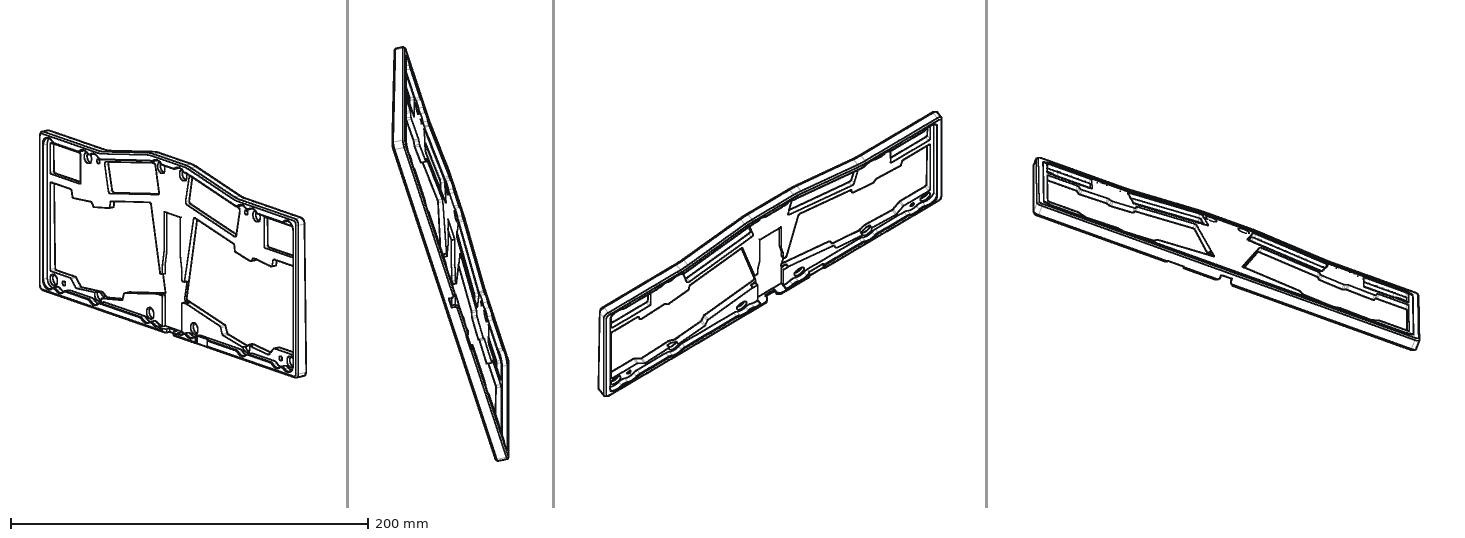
import cadquery as cq
import math

WIDTH = 229.0
HEIGHT = 102.01
DEPTH_BOTTOM = 7.54
BACK_SLOPE = 0.85
ROOF_ANGLE = 12.0
ROOF_OUTER_X = 60.0
ROOF_INNER_X = 16.6
CORNER_RADIUS = 3.0
ROOF_RADIUS = 24.0
EDGE_CHAMFER = 1.0

HALF_WIDTH = WIDTH / 2
SIDE_HEIGHT = HEIGHT - (ROOF_OUTER_X - ROOF_INNER_X) * math.tan(math.radians(ROOF_ANGLE))

RIM_SIDE = 3.9
RIM_TOP = 4.4
RIM_BOTTOM = 4.6
RECESS_DEPTH = 3.2
RECESS_CHAMFER = 0.35
RELIEF_RADIUS = 4.8
RELIEF_BLEND = 3.5

BACK_RECESS_DEPTH = 0.45

MAGNET_DIAMETER = 6.5
MAGNET_DEPTH = 2.0
PIN_DIAMETER = 2.5
PIN_DEPTH = 2.0
LOWER_ROW_Z = 7.3
UPPER_ROW_Z = 85.5
CENTRE_ROW_Z = 94.6
CORNER_X = 104.9
LOWER_PIN_X = 96.0
MIDDLE_X = 65.5
INNER_X = 19.5
UPPER_MAGNET_X = 74.7
CENTRE_MAGNET_X = 9.7
LOWER_CORNER_MAGNET = (CORNER_X, LOWER_ROW_Z)
OTHER_MAGNETS = [(MIDDLE_X, LOWER_ROW_Z), (INNER_X, LOWER_ROW_Z),
                 (UPPER_MAGNET_X, UPPER_ROW_Z), (CENTRE_MAGNET_X, CENTRE_ROW_Z)]
PINS = [(LOWER_PIN_X, LOWER_ROW_Z), (MIDDLE_X, UPPER_ROW_Z)]

CORNER_RELIEF_X = HALF_WIDTH - RIM_SIDE - RELIEF_RADIUS
CHANNEL_RELIEF_X = 10.4
PLAIN_RELIEFS = [(CORNER_RELIEF_X, LOWER_ROW_Z), (CORNER_RELIEF_X, UPPER_ROW_Z),
                 (CHANNEL_RELIEF_X, LOWER_ROW_Z)]

WINDOW_OUTER_X = 108.1
WINDOW_RADIUS = 1.0
CORNER_WINDOW_INNER_X = 81.3
CORNER_WINDOW_BOTTOM = 68.6
CORNER_WINDOW_TOP = 86.7
ROOF_WINDOW_CENTRE = (35.8, 82.4)
ROOF_WINDOW_SIZE = (45.8, 18.0)
ROOF_WINDOW_RADIUS = 1.5
MAIN_WINDOW = [
    (WINDOW_OUTER_X, 11.85), (WINDOW_OUTER_X, 63.7), (89.4, 63.7), (88.3, 58.9),
    (71.7, 60.4), (69.6, 57.8), (55.4, 60.4), (54.8, 64.6), (19.1, 72.1),
    (8.4, 21.0), (42.7, 13.8), (44.4, 9.2), (62.6, 6.15), (66.4, 8.5),
    (85.2, 6.95), (90.0, 11.85),
]

CHANNEL_DEPTH = 2.0
CHANNEL_TOP = 69.4
CHANNEL_NARROW = 7.25
CHANNEL_WIDE = 8.65
CHANNEL_BOTTOM = 2.1
TAPER_TOP = 46.0
TAPER_BOTTOM = 38.0
WAIST_TOP = 32.4
WAIST_BOTTOM = 20.0
WAIST_HALF_WIDTH = 12.0
WAIST_RADIUS = 0.6

CABLE_NOTCH_HALF_WIDTH = 3.2
CABLE_NOTCH_DEPTH = 4.0
CABLE_NOTCH_FLARE = 1.8
PORT_NOTCH_LEFT = 24.6
PORT_NOTCH_RIGHT = 34.3
PORT_NOTCH_DEPTH = 1.2
PORT_NOTCH_FLARE = 0.5


def prism(points, start, depth):
    """Prism of an X-Z polygon, from Y = start towards the back."""
    return cq.Workplane("XZ", origin=(0, start, 0)).polyline(points).close().extrude(-depth)


def disc(centre, diameter, start, depth):
    return (cq.Workplane("XZ", origin=(0, start, 0))
            .center(*centre).circle(diameter / 2).extrude(-depth))


def both_sides(body):
    return body.union(body.mirror("YZ"))


def symmetric(right_points):
    """Close a right-hand outline, listed bottom to top, with its mirror image."""
    return right_points + [(-x, z) for x, z in reversed(right_points)]


def roof_points(inset):
    """Two right-hand bends of the top edge, moved inwards by inset."""
    shift = inset * math.tan(math.radians(ROOF_ANGLE / 2))
    return [(ROOF_OUTER_X - shift, SIDE_HEIGHT - inset), (ROOF_INNER_X - shift, HEIGHT - inset)]


def round_edges_at(body, places, radius):
    """Round the front-to-back edges that lie at the given X-Z places."""
    reach = 0.05
    edges = body.edges("|Y")
    picked = [e for e in edges.vals()
              if any(math.hypot(e.Center().x - x, e.Center().z - z) < reach for x, z in places)]
    return body.newObject(picked).fillet(radius)


def make_frame():
    corners = [(HALF_WIDTH, 0), (HALF_WIDTH, SIDE_HEIGHT)]
    outline = symmetric(corners + roof_points(0))
    back_y = DEPTH_BOTTOM + EDGE_CHAMFER * math.tan(math.radians(BACK_SLOPE))
    body = prism(outline, 0, back_y)
    body = round_edges_at(body, symmetric(corners), CORNER_RADIUS)
    body = round_edges_at(body, symmetric(roof_points(0)), ROOF_RADIUS)
    lean = math.tan(math.radians(BACK_SLOPE))
    wedge = (cq.Workplane("YZ", origin=(-WIDTH, 0, 0))
             .polyline([(back_y, 0), (back_y - HEIGHT * lean, HEIGHT), (back_y, HEIGHT)])
             .close().extrude(2 * WIDTH))
    body = body.cut(wedge)
    return body.faces("<Y or >Y").chamfer(EDGE_CHAMFER)


def recess_outline():
    """Inside of the rim, with the corners cut back to where the corner reliefs begin."""
    side_x = HALF_WIDTH - RIM_SIDE
    side_top = SIDE_HEIGHT - RIM_TOP
    right_side = [(CORNER_RELIEF_X, RIM_BOTTOM), (side_x, LOWER_ROW_Z),
                  (side_x, UPPER_ROW_Z), (CORNER_RELIEF_X, side_top)]
    return symmetric(right_side + roof_points(RIM_TOP))


def make_recess():
    body = prism(recess_outline(), 0, RECESS_DEPTH)
    for centre in OTHER_MAGNETS + PINS + PLAIN_RELIEFS:
        body = body.union(both_sides(disc(centre, 2 * RELIEF_RADIUS, 0, RECESS_DEPTH)))
    wall = body.faces("<Y").val().outerWire()
    grown = wall.offset2D(RELIEF_BLEND)[0]
    rounded = grown.offset2D(-RELIEF_BLEND)[0]
    return cq.Workplane(obj=cq.Solid.extrudeLinear(rounded, [], cq.Vector(0, RECESS_DEPTH, 0)))


def make_back_recess():
    floor_y = DEPTH_BOTTOM - BACK_RECESS_DEPTH
    body = prism(recess_outline(), floor_y, DEPTH_BOTTOM)
    return body.rotate((0, floor_y, 0), (1, floor_y, 0), BACK_SLOPE)


def make_windows():
    corner_points = [(CORNER_WINDOW_INNER_X, CORNER_WINDOW_BOTTOM),
                     (WINDOW_OUTER_X, CORNER_WINDOW_BOTTOM),
                     (WINDOW_OUTER_X, CORNER_WINDOW_TOP),
                     (CORNER_WINDOW_INNER_X, CORNER_WINDOW_TOP)]
    corner = prism(corner_points, 0, DEPTH_BOTTOM).edges("|Y").fillet(WINDOW_RADIUS)
    roof = (cq.Workplane("XZ").center(*ROOF_WINDOW_CENTRE)
            .transformed(rotate=(0, 0, -ROOF_ANGLE)).rect(*ROOF_WINDOW_SIZE).extrude(-DEPTH_BOTTOM)
            .edges("|Y").fillet(ROOF_WINDOW_RADIUS))
    main = prism(MAIN_WINDOW, 0, DEPTH_BOTTOM).edges("|Y").fillet(WINDOW_RADIUS)
    return both_sides(corner.union(roof).union(main))


def make_channel():
    half = [(CHANNEL_WIDE, CHANNEL_BOTTOM), (CHANNEL_WIDE, WAIST_BOTTOM),
            (WAIST_HALF_WIDTH, WAIST_BOTTOM), (WAIST_HALF_WIDTH, WAIST_TOP),
            (CHANNEL_WIDE, WAIST_TOP), (CHANNEL_WIDE, TAPER_BOTTOM),
            (CHANNEL_NARROW, TAPER_TOP), (CHANNEL_NARROW, CHANNEL_TOP)]
    body = prism(symmetric(half), 0, RECESS_DEPTH + CHANNEL_DEPTH)
    steps = symmetric([(CHANNEL_WIDE, WAIST_BOTTOM), (CHANNEL_WIDE, WAIST_TOP)])
    return round_edges_at(body, steps, WAIST_RADIUS)


def make_notch(left, right, top, depth, flare):
    """Cut through the bottom rim from below, widening at 45 degrees to the front face."""
    points = [(left - flare, 0), (left, flare), (left, depth),
              (right, depth), (right, flare), (right + flare, 0)]
    return cq.Workplane("XY").polyline(points).close().extrude(top)


def make_holes():
    holes = cq.Workplane("XZ")
    for centre in [LOWER_CORNER_MAGNET] + OTHER_MAGNETS:
        holes = holes.add(disc(centre, MAGNET_DIAMETER, RECESS_DEPTH, MAGNET_DEPTH))
    for centre in PINS:
        holes = holes.add(disc(centre, PIN_DIAMETER, RECESS_DEPTH, PIN_DEPTH))
    return both_sides(holes.combine())


result = make_frame().cut(make_recess())
rim_mouth = result.faces("<Y").val().innerWires()[0]
result = result.newObject(rim_mouth.Edges()).chamfer(RECESS_CHAMFER)
result = result.cut(make_back_recess())
result = result.cut(make_windows())
result = result.cut(make_channel())
result = result.cut(make_holes())
result = result.cut(make_notch(-CABLE_NOTCH_HALF_WIDTH, CABLE_NOTCH_HALF_WIDTH,
                               CHANNEL_BOTTOM, CABLE_NOTCH_DEPTH, CABLE_NOTCH_FLARE))
result = result.cut(make_notch(PORT_NOTCH_LEFT, PORT_NOTCH_RIGHT,
                               RIM_BOTTOM, PORT_NOTCH_DEPTH, PORT_NOTCH_FLARE))